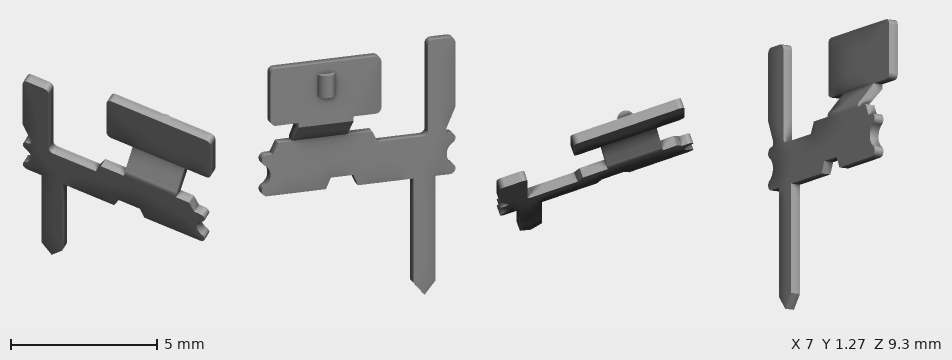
import cadquery as cq
import math

body_width = 7.0
total_height = 9.3
total_depth = 1.27
sheet = 0.35
corner_radius = 0.195

body_bottom = 4.31
body_top = 5.81
step_height = 0.4
step_slope_run = 0.195
step_left = 3.0
step_right = 6.41
notch_center = 4.1
notch_top_width = 0.81
notch_flare = 0.18

lobe_radius = 0.195
waist_depth = 0.32

blade_width = 0.995
blade_taper_top = 6.75
blade_taper_run = 0.41
blade_foot_radius = 0.14

pin_left = 0.72
pin_width = 0.8
pin_point_height = 0.48

paddle_left = 2.9
paddle_width = 4.0
paddle_top = 9.2
paddle_height = 2.09
paddle_front = 0.64
neck_width = 2.0
bend_rise = 0.22
bend_angle = math.radians(48)
neck_back_bottom = 6.23
neck_back_top = 6.94
bump_width = 0.6
bump_bottom = 8.0
bump_height = 0.81

step_top = body_top + step_height
paddle_back = paddle_front + sheet
paddle_bottom = paddle_top - paddle_height
paddle_center = paddle_left + paddle_width / 2


def box(x, y, z, width, depth, height):
    return cq.Workplane("XY").box(width, depth, height, centered=False).translate((x, y, z))


def plate(points):
    """Extrude an XZ outline backwards from the front face of the body."""
    return cq.Workplane("XZ").polyline(points).close().extrude(-sheet)


def scooped_bar():
    """Bar whose ends are two round lobes tangent to a concave waist arc."""
    middle = (body_bottom + body_top) / 2
    lobe_rise = (body_top - body_bottom) / 2 - lobe_radius
    offset = waist_depth - lobe_radius
    waist_radius = (lobe_rise**2 + offset**2 - lobe_radius**2) / (2 * (lobe_radius + offset))
    waist_center = waist_depth - waist_radius
    share = lobe_radius / (lobe_radius + waist_radius)
    touch_x = lobe_radius + share * (waist_center - lobe_radius)
    touch_rise = lobe_rise * (1 - share)
    right = body_width
    return (
        cq.Workplane("XZ")
        .moveTo(lobe_radius, body_top)
        .lineTo(right - lobe_radius, body_top)
        .threePointArc((right, middle + lobe_rise), (right - touch_x, middle + touch_rise))
        .threePointArc((right - waist_depth, middle), (right - touch_x, middle - touch_rise))
        .threePointArc((right, middle - lobe_rise), (right - lobe_radius, body_bottom))
        .lineTo(lobe_radius, body_bottom)
        .threePointArc((0, middle - lobe_rise), (touch_x, middle - touch_rise))
        .threePointArc((waist_depth, middle), (touch_x, middle + touch_rise))
        .threePointArc((0, middle + lobe_rise), (lobe_radius, body_top))
        .close()
        .extrude(-sheet)
    )


def raised_step():
    return plate([
        (step_left - step_slope_run, body_top),
        (step_left, step_top),
        (step_right, step_top),
        (step_right + step_slope_run, body_top),
    ])


def bottom_notch():
    half_top = notch_top_width / 2
    half_bottom = half_top + notch_flare
    notch_top = body_bottom + step_height
    return plate([
        (notch_center - half_bottom, body_bottom),
        (notch_center - half_top, notch_top),
        (notch_center + half_top, notch_top),
        (notch_center + half_bottom, body_bottom),
    ])


def blade():
    upright = plate([
        (blade_taper_run, body_top),
        (0, blade_taper_top),
        (0, total_height),
        (blade_width, total_height),
        (blade_width, body_top),
    ])
    return upright.faces(">Z").edges("|Y").fillet(corner_radius)


def round_blade_foot(body):
    """Round the two inside corners where the blade meets the bar."""
    def foot_edge(x):
        return cq.selectors.BoxSelector(
            (x - 0.01, -0.09, body_top - 0.01), (x + 0.01, sheet + 0.09, body_top + 0.01)
        )

    body = body.edges("|Y").edges(foot_edge(blade_taper_run)).fillet(blade_foot_radius)
    return body.edges("|Y").edges(foot_edge(blade_width)).fillet(corner_radius)


def pin():
    return plate([
        (pin_left, body_bottom),
        (pin_left, pin_point_height),
        (pin_left + pin_width / 2, 0),
        (pin_left + pin_width, pin_point_height),
        (pin_left + pin_width, body_bottom),
    ])


def paddle():
    blank = box(paddle_left, paddle_front, paddle_bottom, paddle_width, sheet, paddle_height)
    return blank.edges("|Y").fillet(corner_radius)


def bump():
    """Round-topped contact rib on the back of the paddle."""
    half = bump_width / 2
    return (
        cq.Workplane("XY", origin=(paddle_center, 0, bump_bottom))
        .moveTo(-half, paddle_back)
        .threePointArc((0, total_depth), (half, paddle_back))
        .close()
        .extrude(bump_height)
    )


def neck():
    """Slanted strip that bends back from the step up to the paddle."""
    bend_radius = bend_rise / math.sin(bend_angle)
    half_angle = bend_angle / 2
    bend_middle = (
        bend_radius * (1 - math.cos(half_angle)),
        step_top + bend_radius * math.sin(half_angle),
    )
    bend_end = (bend_radius * (1 - math.cos(bend_angle)), step_top + bend_rise)
    return (
        cq.Workplane("YZ", origin=(paddle_center - neck_width / 2, 0, 0))
        .moveTo(0, step_top)
        .threePointArc(bend_middle, bend_end)
        .lineTo(paddle_front, paddle_bottom)
        .lineTo(paddle_back, paddle_bottom)
        .lineTo(paddle_back, neck_back_top)
        .lineTo(sheet, neck_back_bottom)
        .lineTo(sheet, step_top)
        .close()
        .extrude(neck_width)
    )


body = scooped_bar().union(raised_step()).union(blade())
body = round_blade_foot(body).union(pin()).cut(bottom_notch())
result = body.union(neck()).union(paddle()).union(bump())